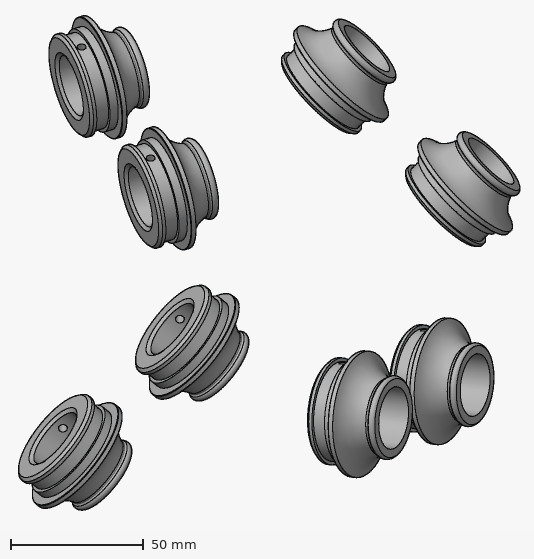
import cadquery as cq
import math

overall_width = 113.0
flange_radius = 24.01
bushing_length = 26.5
bushing_spacing = overall_width - 2 * flange_radius

spigot_radius = 20.3
groove_radius = 19.0
rim_chamfer = 1.1
groove_start = 2.5
groove_end = 7.9

flange_front = 11.3
flange_back = 13.3
flange_chamfer = 0.2

flare_mid_radius = 17.9
flare_mid_y = 17.1
neck_radius = 14.7
neck_start = 22.5

neck_fillet_start = 23.2
neck_fillet = 0.7

lip_radius = 15.9
lip_front_radius = neck_radius + neck_fillet
lip_front = neck_fillet_start + neck_fillet
lip_crest_y = 25.2
lip_back_radius = 15.0

bore_radius = 11.9
bore_chamfer_width = 1.5
bore_chamfer_depth = 1.1

radial_hole_diameter = 3.3
radial_hole_y = 5.1


def make_body():
    """Revolve the outer profile, drawn as (radius, Y), about the Y axis."""
    fillet_mid = (
        lip_front_radius - neck_fillet * math.cos(math.radians(45)),
        neck_fillet_start + neck_fillet * math.sin(math.radians(45)),
    )
    profile = (
        cq.Workplane("XY")
        .lineTo(spigot_radius - rim_chamfer, 0)
        .lineTo(spigot_radius, rim_chamfer)
        .lineTo(spigot_radius, groove_start)
        .lineTo(groove_radius, groove_start)
        .lineTo(groove_radius, groove_end)
        .lineTo(spigot_radius, groove_end)
        .lineTo(spigot_radius, flange_front)
        .lineTo(flange_radius - flange_chamfer, flange_front)
        .lineTo(flange_radius, flange_front + flange_chamfer)
        .lineTo(flange_radius, flange_back)
        .threePointArc((flare_mid_radius, flare_mid_y), (neck_radius, neck_start))
        .lineTo(neck_radius, neck_fillet_start)
        .threePointArc(fillet_mid, (lip_front_radius, lip_front))
        .threePointArc((lip_radius, lip_crest_y), (lip_back_radius, bushing_length))
        .lineTo(0, bushing_length)
        .close()
    )
    return profile.revolve(360, (0, 0, 0), (0, 1, 0))


def make_bore():
    """Through bore with a chamfered mouth at the front."""
    profile = (
        cq.Workplane("XY")
        .lineTo(bore_radius + bore_chamfer_width, 0)
        .lineTo(bore_radius, bore_chamfer_depth)
        .lineTo(bore_radius, bushing_length)
        .lineTo(0, bushing_length)
        .close()
    )
    return profile.revolve(360, (0, 0, 0), (0, 1, 0))


def make_radial_hole():
    """Hole from the top of the groove into the bore."""
    return (
        cq.Workplane("XY")
        .center(0, radial_hole_y)
        .circle(radial_hole_diameter / 2)
        .extrude(spigot_radius)
    )


def make_bushing(center_x):
    bushing = make_body().cut(make_bore()).cut(make_radial_hole())
    return bushing.translate((center_x, 0, 0))


bushings = [make_bushing(side * bushing_spacing / 2) for side in (-1, 1)]

result = cq.Compound.makeCompound([bushing.val() for bushing in bushings])